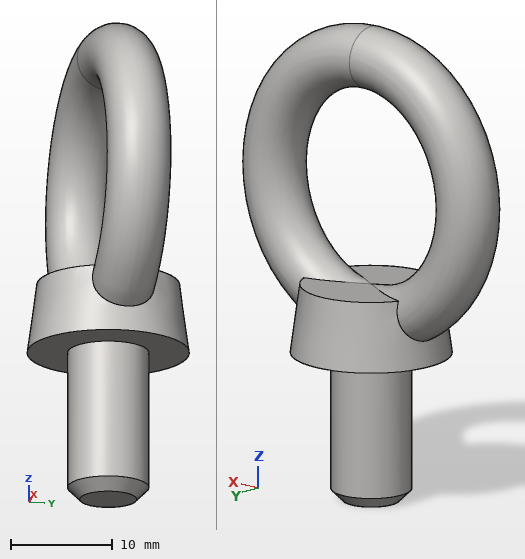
import cadquery as cq

total_height = 48.3

ring_outer_diameter = 32.55
ring_inner_diameter = 20.0
bar_radius = (ring_outer_diameter - ring_inner_diameter) / 4
ring_centre_radius = (ring_outer_diameter + ring_inner_diameter) / 4
ring_centre_z = total_height - ring_outer_diameter / 2

collar_base_diameter = 16.0
collar_top_diameter = 14.1
collar_base_z = 15.05
collar_top_z = ring_centre_z - ring_inner_diameter / 2

shank_diameter = 8.0
tip_chamfer = 1.2


def make_ring():
    """Round bar swept in a full circle about the Y direction."""
    ring = cq.Solid.makeTorus(
        ring_centre_radius,
        bar_radius,
        cq.Vector(0, 0, ring_centre_z),
        cq.Vector(0, 1, 0),
    )
    return cq.Workplane("XY").newObject([ring])


def make_collar_and_shank():
    """Half profile of the collar and shank, revolved about the Z axis."""
    shank_radius = shank_diameter / 2
    profile = (
        cq.Workplane("XZ")
        .lineTo(shank_radius - tip_chamfer, 0)
        .lineTo(shank_radius, tip_chamfer)
        .lineTo(shank_radius, collar_base_z)
        .lineTo(collar_base_diameter / 2, collar_base_z)
        .lineTo(collar_top_diameter / 2, collar_top_z)
        .lineTo(0, collar_top_z)
        .close()
    )
    return profile.revolve(360, (0, 0, 0), (0, 1, 0))


result = make_collar_and_shank().union(make_ring())